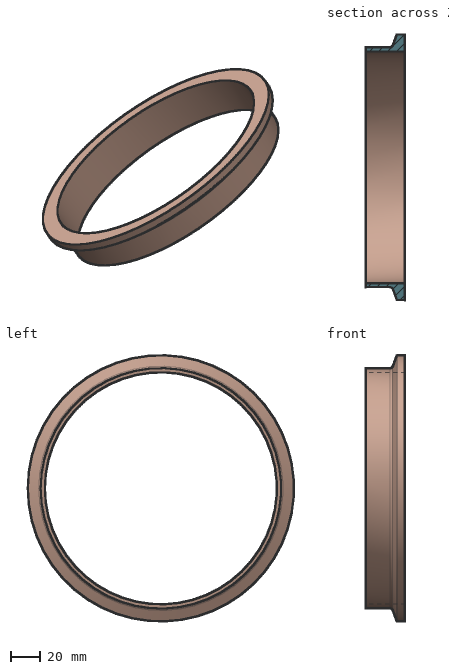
import cadquery as cq
import math

bore_diameter = 159.2
tube_diameter = 165.2
flange_diameter = 183.0
length = 27.0

rim_width = 5.6
slope_angle = math.radians(20.0)
root_fillet_radius = 2.0
rim_round_radius = 0.8

bore_radius = bore_diameter / 2
tube_radius = tube_diameter / 2
flange_radius = flange_diameter / 2

rim_start = length - rim_width
slope_run = (flange_radius - tube_radius) * math.tan(slope_angle)
slope_foot = rim_start - slope_run


def tangent_arc(corner, round_radius, side):
    """Start, middle and end of the arc that rounds a corner of the sloped back.

    side = 1: from the line before the root corner onto the slope.
    side = -1: from the line after the rim corner back onto the slope.
    """
    corner_x, corner_radius = corner
    turn = math.pi / 2 - slope_angle
    setback = round_radius * math.tan(turn / 2)
    start_x = corner_x - side * setback

    def point_after(angle):
        x = start_x + side * round_radius * math.sin(angle)
        radius = corner_radius + side * round_radius * (1 - math.cos(angle))
        return (x, radius)

    return point_after(0), point_after(turn / 2), point_after(turn)


root_on_tube, root_middle, root_on_slope = tangent_arc((slope_foot, tube_radius), root_fillet_radius, 1)
rim_on_edge, rim_middle, rim_on_slope = tangent_arc((rim_start, flange_radius), rim_round_radius, -1)

section = (
    cq.Workplane("XY")
    .moveTo(0, bore_radius)
    .lineTo(0, tube_radius)
    .lineTo(*root_on_tube)
    .threePointArc(root_middle, root_on_slope)
    .lineTo(*rim_on_slope)
    .threePointArc(rim_middle, rim_on_edge)
    .lineTo(length, flange_radius)
    .lineTo(length, bore_radius)
    .close()
)

axis_start = (0, 0, 0)
axis_end = (1, 0, 0)
result = section.revolve(360, axis_start, axis_end)